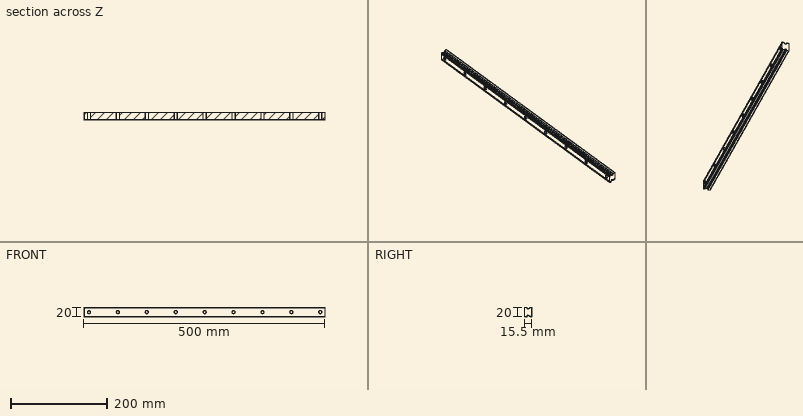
import cadquery as cq

length = 500.0
height = 15.5
width = 20.0

base_chamfer = 1.2
shoulder_height = 5.2
groove_depth = 3.0
groove_floor_start = 6.3
groove_floor_end = 8.1
flank_end_height = 11.6
flank_end_depth = 0.9
head_lip_height = 12.9
head_chamfer = 0.7

raceway_inset = 1.0
raceway_width = 2.4
raceway_depth = 0.7

hole_diameter = 6.0
hole_pitch = 60.0
hole_count = 9


def half_section():
    """The +Z half of the section, from the base face to the middle of the head face."""
    side = width / 2
    groove_floor = side - groove_depth
    raceway_outer = side - raceway_inset
    raceway_inner = raceway_outer - raceway_width
    raceway_middle = (raceway_outer + raceway_inner) / 2
    return (
        cq.Workplane("YZ")
        .lineTo(0, side - base_chamfer)
        .lineTo(base_chamfer, side)
        .lineTo(shoulder_height, side)
        .lineTo(groove_floor_start, groove_floor)
        .lineTo(groove_floor_end, groove_floor)
        .lineTo(flank_end_height, side - flank_end_depth)
        .lineTo(head_lip_height, side)
        .lineTo(height - head_chamfer, side)
        .lineTo(height, side - head_chamfer)
        .lineTo(height, raceway_outer)
        .threePointArc((height - raceway_depth, raceway_middle), (height, raceway_inner))
        .lineTo(height, 0)
    )


def rail_bar():
    """Section mirrored about Z = 0 and extruded, with the bar centred on the origin."""
    bar = half_section().mirrorX().extrude(length / 2, both=True)
    return bar.translate((0, -height / 2, 0))


def drill_mounting_holes(rail):
    """Row of evenly spaced holes through the height of the rail."""
    return (
        rail.faces("<Y")
        .workplane(centerOption="CenterOfBoundBox")
        .rarray(hole_pitch, 1, hole_count, 1)
        .hole(hole_diameter)
    )


result = drill_mounting_holes(rail_bar())